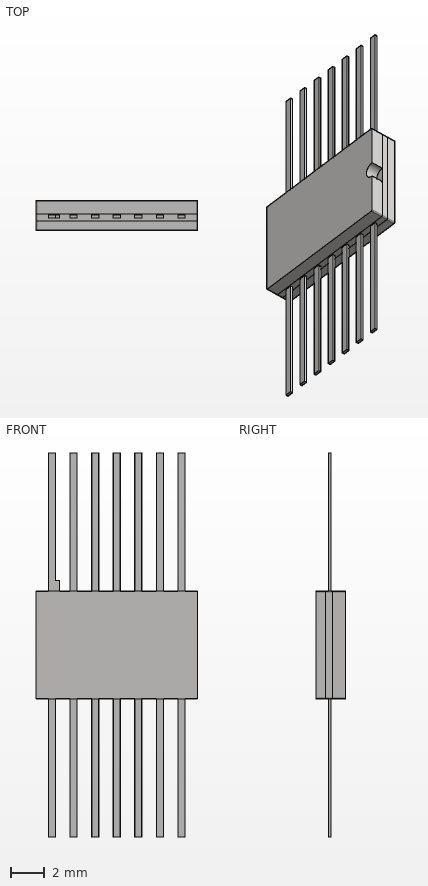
import cadquery as cq


package_width = 9.52
package_height = 6.35
base_thickness = 0.57
frame_thickness = 0.4
lid_thickness = 0.8
corner_radius = 0.07

lead_count = 7
lead_row_span = 7.62
lead_pitch = lead_row_span / (lead_count - 1)
lead_tip_to_tip = 22.6
lead_width = 0.43
lead_thickness = 0.15
lead_gap_to_lid = 0.07

tab_width = 0.23
tab_height = 0.63

notch_diameter = 1.02

base_front = 0.0
frame_front = base_front + base_thickness
lid_front = frame_front + frame_thickness
lead_front = lid_front - lead_gap_to_lid - lead_thickness

first_lead_x = -lead_row_span / 2


def make_block(width, thickness, height, x_center, y_front, z_bottom):
    """Box centred on x_center, growing toward +Y and +Z from the given levels."""
    return (
        cq.Workplane("XY")
        .box(width, thickness, height, centered=(True, False, False))
        .translate((x_center, y_front, z_bottom))
    )


def make_layer(thickness, y_front):
    """Plate with the full package outline, its four corners slightly rounded."""
    plate = make_block(package_width, thickness, package_height, 0, y_front, -package_height / 2)
    return plate.edges("|Y").fillet(corner_radius)


def make_lead(x_center):
    """Flat strip that passes through the frame and sticks out above and below."""
    return make_block(lead_width, lead_thickness, lead_tip_to_tip, x_center, lead_front, -lead_tip_to_tip / 2)


def make_tab():
    """Small step on the +X side of the first lead, standing on the frame's upper edge."""
    tab_x = first_lead_x + (lead_width + tab_width) / 2
    return make_block(tab_width, lead_thickness, tab_height, tab_x, lead_front, package_height / 2)


def make_base():
    return make_layer(base_thickness, base_front)


def make_lead_frame():
    """Middle layer in one piece with its leads and the marker tab."""
    lead_frame = make_layer(frame_thickness, frame_front)
    for index in range(lead_count):
        lead_frame = lead_frame.union(make_lead(first_lead_x + index * lead_pitch))
    return lead_frame.union(make_tab())


def make_lid():
    """Thick plate with a half-round notch through the middle of its -X edge."""
    notch = (
        cq.Workplane("XZ", origin=(-package_width / 2, lid_front, 0))
        .circle(notch_diameter / 2)
        .extrude(-lid_thickness)
    )
    return make_layer(lid_thickness, lid_front).cut(notch)


base = make_base()
lead_frame = make_lead_frame()
lid = make_lid()

result = cq.Compound.makeCompound([base.val(), lead_frame.val(), lid.val()])